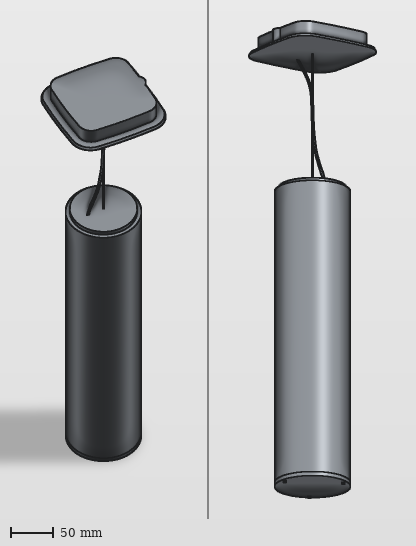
import cadquery as cq
import math

total_height = 558.0
foot_height = 1.5
bottom_cap_height = 5.0
shade_height = 360.0
top_cap_height = 5.0

bottom_cap_z = foot_height
shade_z = bottom_cap_z + bottom_cap_height
top_cap_z = shade_z + shade_height
lamp_top_z = top_cap_z + top_cap_height

shade_diameter = 90.0
top_cap_diameter = 80.0
foot_diameter = 3.5
foot_circle_radius = 40.0
foot_count = 3
first_foot_angle = 90

canopy_height = 22.0
plate_thickness = 3.5
plate_z = total_height - canopy_height
box_z = plate_z + plate_thickness
box_height = canopy_height - plate_thickness

plate_half_width = 62.5
plate_side_bow = 1.0
plate_corner_radius = 25.5
plate_edge_slope = 1.5

box_half_width = 52.0
box_side_bow = 1.0
box_corner_radius = 17.0
box_bump_width = 17.0
box_bump_depth = 3.5

wire_diameter = 1.5
cable_width = 3.5
cable_thickness = 0.5
cable_path = [
    (1.0, -21.0, lamp_top_z),
    (6.0, -18.5, 393.0),
    (9.0, -12.0, 415.5),
    (4.0, -4.0, 442.5),
    (3.5, -2.0, 468.5),
    (6.0, -2.0, 493.5),
    (17.0, -1.5, 516.0),
    (29.5, 0.0, plate_z),
]


def bowed_square(base_z, half_width, side_bow, corner_radius, height, taper=0):
    """Rounded square block with sides that bulge out by side_bow and lean in by taper degrees."""
    straight_half = half_width - side_bow
    inner = straight_half - corner_radius
    corner_mid = inner + corner_radius * math.sqrt(0.5)
    return (
        cq.Workplane("XY", origin=(0, 0, base_z))
        .moveTo(inner, -straight_half)
        .threePointArc((corner_mid, -corner_mid), (straight_half, -inner))
        .threePointArc((half_width, 0), (straight_half, inner))
        .threePointArc((corner_mid, corner_mid), (inner, straight_half))
        .threePointArc((0, half_width), (-inner, straight_half))
        .threePointArc((-corner_mid, corner_mid), (-straight_half, inner))
        .threePointArc((-half_width, 0), (-straight_half, -inner))
        .threePointArc((-corner_mid, -corner_mid), (-inner, -straight_half))
        .threePointArc((0, -half_width), (inner, -straight_half))
        .close()
        .extrude(height, taper=taper)
    )


def disc(base_z, diameter, height):
    """Round prism on the hanging axis."""
    return cq.Workplane("XY", origin=(0, 0, base_z)).circle(diameter / 2).extrude(height)


def make_canopy_plate():
    """Cover plate whose rim slopes inward by plate_edge_slope from bottom to top."""
    slope_angle = math.degrees(math.atan(plate_edge_slope / plate_thickness))
    return bowed_square(
        plate_z,
        plate_half_width,
        plate_side_bow,
        plate_corner_radius,
        plate_thickness,
        taper=slope_angle,
    )


def make_canopy_box():
    box = bowed_square(box_z, box_half_width, box_side_bow, box_corner_radius, box_height)
    bump_base = box_half_width - box_side_bow
    bump = (
        cq.Workplane("XY", origin=(0, 0, box_z))
        .moveTo(-box_bump_width / 2, bump_base)
        .threePointArc((0, box_half_width + box_bump_depth), (box_bump_width / 2, bump_base))
        .close()
        .extrude(box_height)
    )
    return box.union(bump)


def make_wire():
    return disc(lamp_top_z, wire_diameter, plate_z - lamp_top_z)


def make_cable(plate):
    """Flat cable rising in a loose S from the top cap, trimmed flush with the underside of the plate."""
    path = cq.Workplane("XY").spline(cable_path)
    return (
        cq.Workplane("XY", origin=cable_path[0])
        .rect(cable_thickness, cable_width)
        .sweep(path)
        .cut(plate)
    )


def make_shade():
    return disc(shade_z, shade_diameter, shade_height)


def make_top_cap():
    return disc(top_cap_z, top_cap_diameter, top_cap_height)


def make_bottom_cap():
    """Flush end disc standing on small round feet."""
    feet = (
        cq.Workplane("XY")
        .polarArray(foot_circle_radius, first_foot_angle, 360, foot_count)
        .circle(foot_diameter / 2)
        .extrude(foot_height)
    )
    return disc(bottom_cap_z, shade_diameter, bottom_cap_height).union(feet)


canopy_plate = make_canopy_plate()
canopy_box = make_canopy_box()
wire = make_wire()
cable = make_cable(canopy_plate)
shade = make_shade()
top_cap = make_top_cap()
bottom_cap = make_bottom_cap()

result = cq.Compound.makeCompound([
    canopy_plate.val(),
    canopy_box.val(),
    wire.val(),
    cable.val(),
    shade.val(),
    top_cap.val(),
    bottom_cap.val(),
])